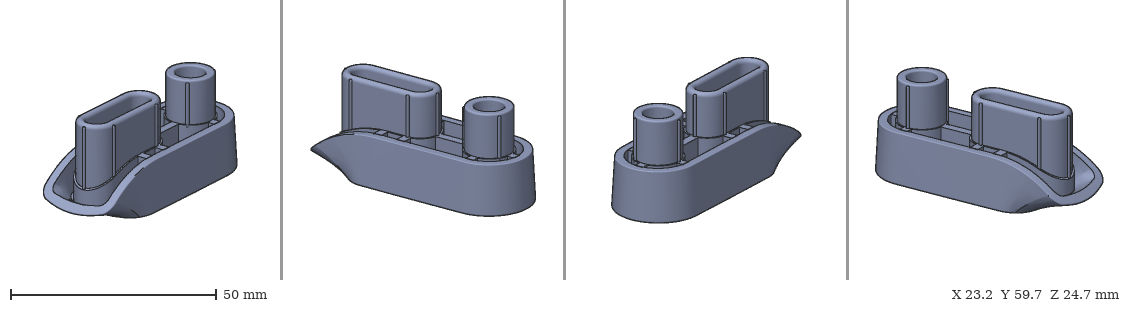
import cadquery as cq
import math

part_height = 24.71
rim_height = 13.3
floor_height = 3.0

outer_foot_back_y = 11.31
outer_foot_back_x = 11.42
outer_foot_x = 11.65
outer_foot_front_y = -38.2
outer_foot_corner = 7.0
outer_foot_bow = 20.0

outer_rim_back_y = 10.65
outer_rim_back_x = 10.55
outer_rim_x = 10.7
outer_rim_front_y = -48.57
outer_rim_corner = 3.0
outer_break_y = -33.0

pocket_back_y = 8.35
pocket_back_x = 8.23
pocket_x = 8.3
pocket_foot_front_y = -42.6
pocket_foot_corner = 7.6
pocket_foot_bow = 10.0
pocket_rim_front_y = -46.6
pocket_rim_corner = 2.0
pocket_break_y = -37.0

rim_bow = 33.0

slope_start_y = -27.0
slope_radius = 28.0
slope_sweep = math.radians(65)
ledge_drop = 0.1

post_radius = 6.07
post_base_radius = 6.5
post_bore_radius = 3.8
post_edge_radius = 0.5

slot_back_y = -20.75
slot_front_y = -37.9
slot_post_radius = 5.15
slot_base_radius = 5.65
slot_bore_radius = 2.83
slot_edge_radius = 1.14

crush_rib_radius = 0.45
crush_rib_top = 23.7
post_rib_angles = (60, 180, 300)

web_width = 2.35
web_pitch = 6.85
web_wall_overlap = 0.5

hollow_ratio = 0.1
hollow_steps = 8

rim_fillet = 0.25
foot_fillet = 0.4

margin = 10.0

upright_limit = 0.05


def plan_outline(back_y, side_x, wide_x, front_y, corner_radius, front_radius, break_y=None):
    """Closed plan outline: round back, slightly bulged sides, and a bowed front with tangent corners.

    Each front half has the same number of edges: the straight side is split at break_y if that is
    given, and otherwise the corner arc is split at its middle.
    """
    side_middle = (wide_x - (wide_x - side_x) / 4, slope_start_y / 2)

    corner_x = wide_x - corner_radius
    front_centre_y = front_y + front_radius
    corner_y = front_centre_y - math.sqrt((front_radius - corner_radius) ** 2 - corner_x**2)
    turn = math.atan2(corner_y - front_centre_y, corner_x)

    def on_corner(angle):
        return (corner_x + corner_radius * math.cos(angle), corner_y + corner_radius * math.sin(angle))

    def left(point):
        return (-point[0], point[1])

    corner_start = on_corner(0)
    corner_end = on_corner(turn)
    outline = (
        cq.Workplane("XY")
        .moveTo(-side_x, 0)
        .threePointArc((0, back_y), (side_x, 0))
        .threePointArc(side_middle, (wide_x, slope_start_y))
    )
    if break_y is None:
        corner_middle = on_corner(turn / 2)
        outline = (
            outline.lineTo(*corner_start)
            .threePointArc(on_corner(turn / 4), corner_middle)
            .threePointArc(on_corner(turn * 3 / 4), corner_end)
            .threePointArc((0, front_y), left(corner_end))
            .threePointArc(left(on_corner(turn * 3 / 4)), left(corner_middle))
            .threePointArc(left(on_corner(turn / 4)), left(corner_start))
        )
    else:
        outline = (
            outline.lineTo(wide_x, break_y)
            .lineTo(*corner_start)
            .threePointArc(on_corner(turn / 2), corner_end)
            .threePointArc((0, front_y), left(corner_end))
            .threePointArc(left(on_corner(turn / 2)), left(corner_start))
            .lineTo(-wide_x, break_y)
        )
    return outline.lineTo(-wide_x, slope_start_y).threePointArc(left(side_middle), (-side_x, 0)).close()


def below_top_surface(drop):
    """Wide block filling everything up to the top surface lowered by drop."""
    height = rim_height - drop
    radius = slope_radius - drop
    centre_z = height - radius
    middle = (slope_start_y - radius * math.sin(slope_sweep / 2), centre_z + radius * math.cos(slope_sweep / 2))
    end = (slope_start_y - radius * math.sin(slope_sweep), centre_z + radius * math.cos(slope_sweep))
    return (
        cq.Workplane("YZ")
        .moveTo(2 * margin, -margin)
        .lineTo(2 * margin, height)
        .lineTo(slope_start_y, height)
        .threePointArc(middle, end)
        .lineTo(end[0], -margin)
        .close()
        .extrude(2 * margin, both=True)
    )


def ledge_height(y):
    """Height of the ledge surface at a given y."""
    fall = max(0, slope_start_y - y)
    radius = slope_radius - ledge_drop
    return rim_height - slope_radius + math.sqrt(radius**2 - fall**2)


def around_axis(edge):
    """Angle of an edge's middle, seen from a point inside the outline."""
    inside_y = (slope_start_y + outer_foot_back_y) / 2
    middle = edge.positionAt(0.5)
    return math.atan2(middle.y - inside_y, middle.x)


def side_face(low, high):
    """Side of the shell between a foot edge and a rim edge: straight at the back, hollowed at the front."""
    if low.Center().y > slope_start_y:
        return cq.Face.makeRuledSurface(low, high)
    foot_run = low.endPoint() - low.startPoint()
    rim_run = high.endPoint() - high.startPoint()
    same_way = foot_run.dot(rim_run) > 0
    points = []
    for step in range(hollow_steps + 1):
        place = step / hollow_steps
        foot_point = low.positionAt(place)
        rim_point = high.positionAt(place if same_way else 1 - place)
        hollow = cq.Vector(0, hollow_ratio * (foot_point.y - rim_point.y), 0)
        points.append((foot_point + rim_point) * 0.5 + hollow)
    middle = cq.Edge.makeSpline(points)
    return cq.occ_impl.shapes.loft(low, middle, high)


def swept_block(foot, foot_z, rim):
    """Solid with a flat foot outline, drafted sides and a rim lying on the top surface."""
    foot_wire = foot.wire().val().translate(cq.Vector(0, 0, foot_z))
    prism = rim.extrude(part_height, clean=False).translate((0, 0, -margin))
    prism = prism.intersect(below_top_surface(0), clean=False)
    top_faces = [face for face in prism.faces().vals() if face.normalAt().z > upright_limit]
    wall_faces = [face for face in prism.faces().vals() if abs(face.normalAt().z) < upright_limit]
    rim_edges = [max(face.Edges(), key=lambda edge: edge.Center().z) for face in wall_faces]
    pairs = zip(sorted(foot_wire.Edges(), key=around_axis), sorted(rim_edges, key=around_axis))
    sides = [side_face(low, high) for low, high in pairs]
    shell = cq.Shell.makeShell([cq.Face.makeFromWires(foot_wire)] + top_faces + sides)
    return cq.Workplane(cq.Solid.makeSolid(shell).fix())


def slot_outline(radius, z):
    """Straight-sided slot with round ends, on a plane at height z."""
    return (
        cq.Workplane("XY", origin=(0, (slot_back_y + slot_front_y) / 2, z))
        .slot2D(slot_back_y - slot_front_y + 2 * radius, 2 * radius, 90)
    )


def circle_outline(radius, z):
    """Circle around the round post's axis, on a plane at height z."""
    return cq.Workplane("XY", origin=(0, 0, z)).circle(radius)


def shell_body():
    """Drafted tray with an upswept tip and an open pocket."""
    outer_foot = plan_outline(
        outer_foot_back_y, outer_foot_back_x, outer_foot_x,
        outer_foot_front_y, outer_foot_corner, outer_foot_bow,
    )
    outer_rim = plan_outline(
        outer_rim_back_y, outer_rim_back_x, outer_rim_x,
        outer_rim_front_y, outer_rim_corner, rim_bow, outer_break_y,
    )
    inner_foot = plan_outline(
        pocket_back_y, pocket_back_x, pocket_x,
        pocket_foot_front_y, pocket_foot_corner, pocket_foot_bow,
    )
    inner_rim = plan_outline(
        pocket_back_y, pocket_back_x, pocket_x,
        pocket_rim_front_y, pocket_rim_corner, rim_bow, pocket_break_y,
    )
    outer = swept_block(outer_foot, 0, outer_rim)
    outer = outer.faces("<Z").edges().fillet(foot_fillet)
    outer = outer.faces(">Z or %CYLINDER").edges("not |X").fillet(rim_fillet)
    return outer.cut(swept_block(inner_foot, floor_height, inner_rim))


def web(x_length, y_length, y_centre):
    """Rectangular stiffening wall standing on the pocket floor."""
    return (
        cq.Workplane("XY", origin=(0, y_centre, floor_height))
        .rect(x_length, y_length)
        .extrude(part_height)
    )


def post_bases_and_webs():
    """Wider post bases and the webs, all ending on a ledge just below the rim."""
    back_end = pocket_back_y + web_wall_overlap
    across = 2 * (pocket_back_x + web_wall_overlap)
    blocks = circle_outline(post_base_radius, floor_height).extrude(part_height)
    blocks = blocks.union(slot_outline(slot_base_radius, floor_height).extrude(part_height))
    blocks = blocks.union(web(web_width, back_end - slot_back_y, (back_end + slot_back_y) / 2))
    for y_centre in (0, slot_back_y, slot_back_y - web_pitch):
        blocks = blocks.union(web(across, web_width, y_centre))
    return blocks.intersect(below_top_surface(ledge_drop))


def post(outline, radius, bore_radius, edge_radius):
    """Post and bore standing on the pocket floor, with a rounded mouth."""
    height = part_height - floor_height
    solid = outline(radius, floor_height).extrude(height)
    bore = outline(bore_radius, floor_height).extrude(height)
    return solid.cut(bore).faces(">Z").edges().fillet(edge_radius)


def crush_rib(x, y):
    """Thin vertical rib with a domed top."""
    bottom = ledge_height(y) - crush_rib_radius
    rib = cq.Workplane("XY", origin=(x, y, bottom)).circle(crush_rib_radius)
    dome = cq.Workplane("XY", origin=(x, y, crush_rib_top)).sphere(crush_rib_radius)
    return rib.extrude(crush_rib_top - bottom).union(dome)


def crush_rib_places():
    """Plan positions of the ribs on the round post and on the slotted post."""
    places = []
    for angle in map(math.radians, post_rib_angles):
        places.append((post_radius * math.cos(angle), post_radius * math.sin(angle)))
    for y in (slot_back_y, slot_front_y):
        places.append((-slot_post_radius, y))
        places.append((slot_post_radius, y))
    places.append((0, slot_back_y + slot_post_radius))
    places.append((0, slot_front_y - slot_post_radius))
    return places


def complete_part():
    """Shell, bases and webs, opened up by both bores and topped with the posts and crush ribs."""
    posts = (
        (circle_outline, post_radius, post_bore_radius, post_edge_radius),
        (slot_outline, slot_post_radius, slot_bore_radius, slot_edge_radius),
    )
    part = shell_body().union(post_bases_and_webs())
    for outline, radius, bore_radius, edge_radius in posts:
        part = part.cut(outline(bore_radius, floor_height).extrude(part_height))
        part = part.union(post(outline, radius, bore_radius, edge_radius))
    for x, y in crush_rib_places():
        part = part.union(crush_rib(x, y))
    return part


result = complete_part()